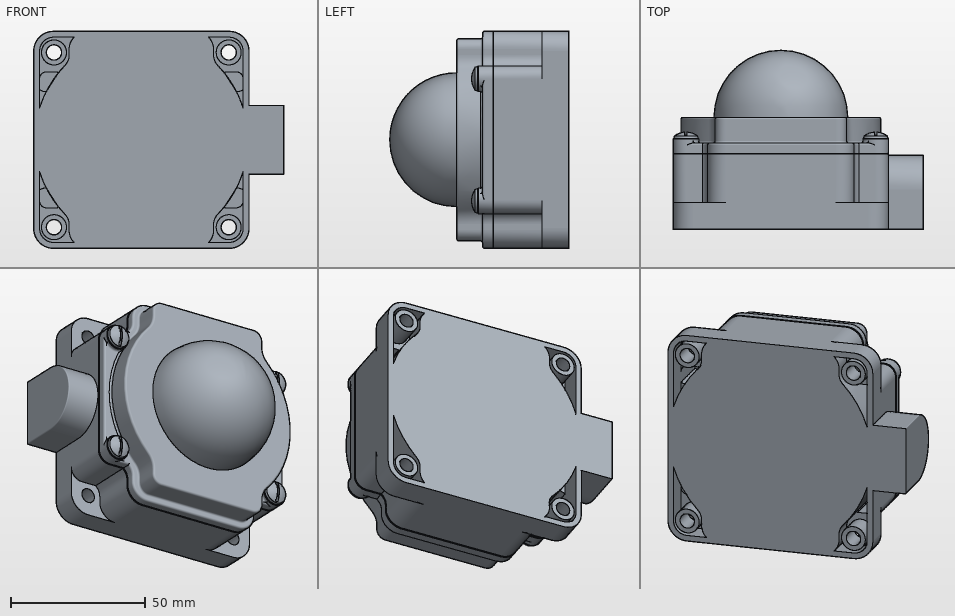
import cadquery as cq
import math

case_width = 80.2
case_height = 80.8
half_width = case_width / 2
half_height = case_height / 2
flange_thickness = 10.1
flange_corner = 7.45

cap_half_flat = 20.6
cap_radius = 6.7
neck_radius = 5.0

screw_x = 35.3
screw_z = 22.7
boss_radius = half_width - screw_x

parting_level = 28.1
lid_level = 32.1
block_level = 41.7
groove_width = 0.3
groove_depth = 0.3
lid_edge_radius = 0.8

block_inset = 2.8
block_foot_radius = 0.7
block_edge_radius = 0.8
dome_radius = 25.0

pad_level = 33.6
pad_foot_radius = block_foot_radius
head_foot_radius = 4.6
head_foot_level = 33.9
head_rim_radius = 4.3
head_rim_level = 34.8
head_top_level = 36.2
slot_width = 0.9
slot_depth = 1.1

hole_offset = 32.5
hole_diameter = 5.6
tube_diameter = 9.3
pocket_wall = 2.2
pocket_inset = 0.42
pocket_depth = 9.0
shaft_depth = parting_level - pocket_wall
shaft_end_radius = 4.8

overall_length = 93.1
connector_end = overall_length - half_width
connector_half_width = 12.85
connector_axis_level = 14.8
connector_edge_radius = 0.4

tolerance = 0.01
margin = 0.9

corners = [(sx, sz) for sx in (-1, 1) for sz in (-1, 1)]
hole_points = [(sx * hole_offset, sz * hole_offset) for sx, sz in corners]
screw_points = [(sx * screw_x, sz * screw_z) for sx, sz in corners]


def plane_at(level):
    """XZ work plane at a Y level; negative extrusions grow toward +Y."""
    return cq.Workplane("XZ", origin=(0, level, 0))


def rounded_box(width, height, radius, start, end):
    slab = plane_at(start).rect(width, height).extrude(start - end)
    return slab.edges("|Y").fillet(radius)


def core(inset, start, end):
    """Prism of the core outline, offset inward by inset."""
    circle_r = half_width - inset
    convex_r = cap_radius - inset
    concave_r = neck_radius + inset
    top = half_height - inset
    shoulder = half_height - cap_radius
    side = cap_half_flat + convex_r
    concave_x = side + concave_r

    neck_height = math.sqrt((circle_r + concave_r) ** 2 - concave_x**2)
    bearing = math.atan2(neck_height, concave_x)
    join = (circle_r * math.cos(bearing), circle_r * math.sin(bearing))
    mid_angle = math.pi + bearing / 2
    concave_mid = (
        concave_x + concave_r * math.cos(mid_angle),
        neck_height + concave_r * math.sin(mid_angle),
    )
    diagonal = convex_r * math.sqrt(0.5)
    convex_mid = (cap_half_flat + diagonal, shoulder + diagonal)

    def flip(point, x_sign, z_sign):
        return (x_sign * point[0], z_sign * point[1])

    outline = plane_at(start).moveTo(-cap_half_flat, top)
    for turn in (1, -1):
        outline = (
            outline.lineTo(turn * cap_half_flat, turn * top)
            .threePointArc(flip(convex_mid, turn, turn), flip((side, shoulder), turn, turn))
            .lineTo(turn * side, turn * neck_height)
            .threePointArc(flip(concave_mid, turn, turn), flip(join, turn, turn))
            .threePointArc((turn * circle_r, 0), flip(join, turn, -turn))
            .threePointArc(flip(concave_mid, turn, -turn), flip((side, neck_height), turn, -turn))
            .lineTo(turn * side, -turn * shoulder)
            .threePointArc(flip(convex_mid, turn, -turn), (turn * cap_half_flat, -turn * top))
        )
    return outline.close().extrude(start - end)


def case_section(inset, start, end):
    """Core outline together with the four screw bosses."""
    width = 2 * (half_width - inset)
    height = 2 * (screw_z + boss_radius - inset)
    bosses = rounded_box(width, height, boss_radius - inset, start, end)
    return core(inset, start, end).union(bosses)


def make_lid():
    lid = case_section(0, parting_level + groove_width / 2, lid_level)
    lid = lid.faces(">Y").edges().fillet(lid_edge_radius)
    block = core(block_inset, lid_level, block_level)
    block = block.faces(">Y").edges().fillet(block_edge_radius)
    lid = lid.union(block)
    foot_zone = core(block_inset - block_foot_radius, lid_level - margin, lid_level + margin).val()
    foot_edges = [
        edge
        for edge in lid.edges().vals()
        if edge.BoundingBox().ylen < tolerance
        and abs(edge.Center().y - lid_level) < tolerance
        and foot_zone.isInside(edge.positionAt(0.5))
    ]
    lid = lid.newObject(foot_edges).fillet(block_foot_radius)
    dome = (
        cq.Workplane("YZ")
        .moveTo(block_level - block_edge_radius, 0)
        .lineTo(block_level - block_edge_radius, dome_radius)
        .lineTo(block_level, dome_radius)
        .radiusArc((block_level + dome_radius, 0), dome_radius)
        .close()
        .revolve(360, (0, 0, 0), (1, 0, 0))
    )
    return lid.union(dome)


def make_screw():
    """Pad and domed head, revolved about the Y axis."""
    rise = head_top_level - head_rim_level
    sphere_radius = (head_rim_radius**2 + rise**2) / (2 * rise)
    half_angle = math.asin(head_rim_radius / sphere_radius) / 2
    dome_mid = (
        sphere_radius * math.sin(half_angle),
        head_top_level - sphere_radius * (1 - math.cos(half_angle)),
    )
    screw = (
        cq.Workplane("XY")
        .moveTo(0, parting_level + margin)
        .lineTo(boss_radius, parting_level + margin)
        .lineTo(boss_radius, pad_level)
        .lineTo(head_foot_radius, head_foot_level)
        .lineTo(head_rim_radius, head_rim_level)
        .threePointArc(dome_mid, (0, head_top_level))
        .close()
        .revolve(360, (0, 0, 0), (0, 1, 0))
    )
    slot = cq.Workplane("XY").box(slot_width, 2 * slot_depth, 2 * head_rim_radius)
    return screw.cut(slot.translate((0, head_top_level, 0)))


def make_pad_foot():
    """Concave fillet ring at the foot of a screw pad, kept to the flat part of the lid face."""
    diagonal = pad_foot_radius * (1 - math.sqrt(0.5))
    foot_radius = boss_radius + pad_foot_radius
    buried = boss_radius / 2
    ring = (
        cq.Workplane("XY")
        .moveTo(buried, lid_level)
        .lineTo(foot_radius, lid_level)
        .threePointArc(
            (boss_radius + diagonal, lid_level + diagonal),
            (boss_radius, lid_level + pad_foot_radius),
        )
        .lineTo(buried, lid_level + pad_foot_radius)
        .close()
        .revolve(360, (0, 0, 0), (0, 1, 0))
    )
    flat_reach = boss_radius - lid_edge_radius
    span = flat_reach + foot_radius
    middle = (flat_reach - foot_radius) / 2
    flat = plane_at(lid_level).center(middle, middle).rect(span, span).extrude(-pad_foot_radius)
    outer_corner = (
        plane_at(lid_level)
        .rect(foot_radius, foot_radius, centered=False)
        .extrude(-pad_foot_radius)
    )
    return ring.intersect(flat).cut(outer_corner)


def make_connector():
    inner_end = half_width - margin
    connector = (
        cq.Workplane("YZ", origin=(inner_end, 0, 0))
        .moveTo(0, -connector_half_width)
        .lineTo(connector_axis_level, -connector_half_width)
        .threePointArc(
            (connector_axis_level + connector_half_width, 0),
            (connector_axis_level, connector_half_width),
        )
        .lineTo(0, connector_half_width)
        .close()
        .extrude(connector_end - inner_end)
    )
    return connector.faces(">X").edges("not <Y").fillet(connector_edge_radius)


def discs(points, radius, depth):
    """Cylinders sunk from the mounting face."""
    return plane_at(0).pushPoints(points).circle(radius).extrude(-depth)


def make_pockets():
    """Four corner pockets, each with a deeper shaft behind its screw boss."""
    pocket = rounded_box(
        2 * (half_width - pocket_wall),
        2 * (half_height - pocket_wall),
        flange_corner - pocket_wall,
        0,
        pocket_depth,
    )
    pocket = pocket.cut(core(pocket_inset, 0, pocket_depth))

    shaft = rounded_box(
        2 * (half_width - pocket_wall),
        2 * (screw_z + boss_radius - pocket_wall),
        boss_radius - pocket_wall,
        0,
        shaft_depth,
    )
    shaft_ends = discs(screw_points, shaft_end_radius, shaft_depth)
    shaft = shaft.intersect(shaft_ends).cut(core(pocket_inset, 0, shaft_depth))

    tubes = discs(hole_points, tube_diameter / 2, pocket_depth)
    return pocket.union(shaft).cut(tubes)


flange = rounded_box(case_width, case_height, flange_corner, 0, flange_thickness)
base = flange.union(case_section(0, 0, parting_level - groove_width / 2))
seal = case_section(groove_depth, parting_level - margin, parting_level + margin)
result = base.union(seal).union(make_lid())

upper_right_screw = make_screw().union(make_pad_foot()).translate((screw_x, 0, screw_z))
right_screws = upper_right_screw.union(upper_right_screw.mirror("XY"))
result = result.union(right_screws).union(right_screws.mirror("YZ"))

result = result.union(make_connector())
result = result.cut(make_pockets())
result = result.cut(discs(hole_points, hole_diameter / 2, flange_thickness))